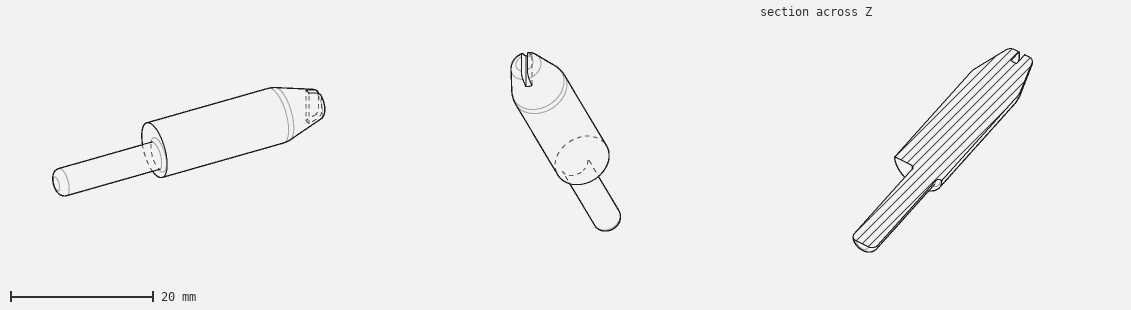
import cadquery as cq

BODY_RADIUS = 4.0
BODY_LENGTH = 26.0
NOSE_LENGTH = 6.5
NOSE_TIP_RADIUS = 2.0
NOSE_BLEND_RADIUS = 3.0
NOSE_TIP_ROUND = 1.0

SLOT_WIDTH = 0.9
SLOT_DEPTH = 2.0

PIN_RADIUS = 2.0
PIN_LENGTH = 16.0
PIN_OFFSET = 1.3
PIN_ROOT_FILLET = 0.5
PIN_END_ROUND = 1.0

FULL_TURN = 360
AXIS_START = (0, 0, 0)
AXIS_END = (0, 1, 0)


def make_body():
    """Revolve the half profile about Y, then round the nose edges."""
    nose_start = BODY_LENGTH - NOSE_LENGTH
    body = (
        cq.Workplane("XY")
        .lineTo(BODY_RADIUS, 0)
        .lineTo(BODY_RADIUS, nose_start)
        .lineTo(NOSE_TIP_RADIUS, BODY_LENGTH)
        .lineTo(0, BODY_LENGTH)
        .close()
        .revolve(FULL_TURN, AXIS_START, AXIS_END)
    )
    body = body.faces(">Y").edges().fillet(NOSE_TIP_ROUND)
    taper_start = cq.NearestToPointSelector((0, nose_start, 0))
    return body.edges(taper_start).fillet(NOSE_BLEND_RADIUS)


def make_slot():
    """Box that cuts straight through the tip along Z."""
    return (
        cq.Workplane("XY")
        .box(SLOT_WIDTH, SLOT_DEPTH, 2 * BODY_RADIUS)
        .translate((0, BODY_LENGTH - SLOT_DEPTH / 2, 0))
    )


def make_pin():
    """Revolve the pin about its own axis, with a flared root and a rounded end."""
    root_radius = PIN_RADIUS + PIN_ROOT_FILLET
    end_flat_radius = PIN_RADIUS - PIN_END_ROUND
    pin = (
        cq.Workplane("XY")
        .lineTo(root_radius, 0)
        .radiusArc((PIN_RADIUS, -PIN_ROOT_FILLET), -PIN_ROOT_FILLET)
        .lineTo(PIN_RADIUS, PIN_END_ROUND - PIN_LENGTH)
        .radiusArc((end_flat_radius, -PIN_LENGTH), PIN_END_ROUND)
        .lineTo(0, -PIN_LENGTH)
        .close()
        .revolve(FULL_TURN, AXIS_START, AXIS_END)
    )
    return pin.translate((PIN_OFFSET, 0, 0))


result = make_body().cut(make_slot()).union(make_pin())